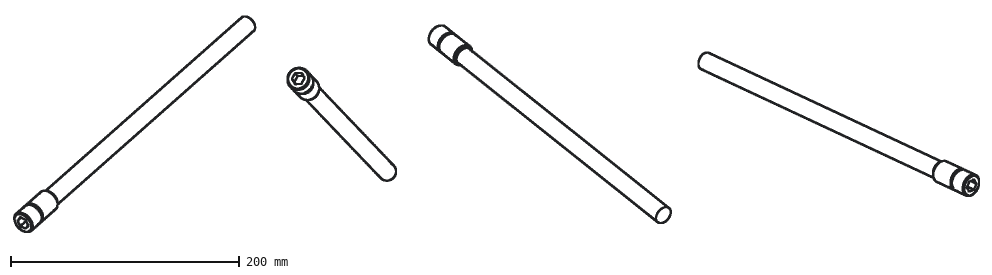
import cadquery as cq
import math

HEX_SIDES = 6

total_length = 340.0
head_diameter = 20.0
rod_diameter = 16.0
cap_length = 15.5
collar_length = 24.5
chamfer = 1.0
collar_rear_chamfer = 1.7
socket_flats = 10.0
socket_depth = 10.2

front_y = -total_length / 2
joint_y = front_y + cap_length
collar_end_y = joint_y + collar_length
rod_end_y = front_y + total_length

head_radius = head_diameter / 2
rod_radius = rod_diameter / 2
bevel_radius = head_radius - chamfer


def revolve_about_y(profile):
    """Turn a closed half profile of (radius, y) points about the Y axis."""
    return cq.Workplane("XY").polyline(profile).close().revolve(360, (0, 0, 0), (0, 1, 0))


def hexagon_socket():
    """Cutter for the blind hexagon, with two corners on the X direction."""
    across_corners = socket_flats / math.cos(math.pi / HEX_SIDES)
    return (
        cq.Workplane("XZ", origin=(0, front_y, 0))
        .polygon(HEX_SIDES, across_corners)
        .extrude(-socket_depth)
    )


def make_cap():
    """Front cap, bevelled at both ends, with a hexagon socket in its face."""
    blank = revolve_about_y([
        (0, front_y),
        (bevel_radius, front_y),
        (head_radius, front_y + chamfer),
        (head_radius, joint_y - chamfer),
        (bevel_radius, joint_y),
        (0, joint_y),
    ])
    return blank.cut(hexagon_socket())


def make_rod():
    """Long rod with a bevelled collar that butts against the cap."""
    return revolve_about_y([
        (0, joint_y),
        (bevel_radius, joint_y),
        (head_radius, joint_y + chamfer),
        (head_radius, collar_end_y - collar_rear_chamfer),
        (bevel_radius, collar_end_y),
        (rod_radius, collar_end_y),
        (rod_radius, rod_end_y),
        (0, rod_end_y),
    ])


cap = make_cap()
rod = make_rod()

result = cq.Compound.makeCompound([cap.val(), rod.val()])